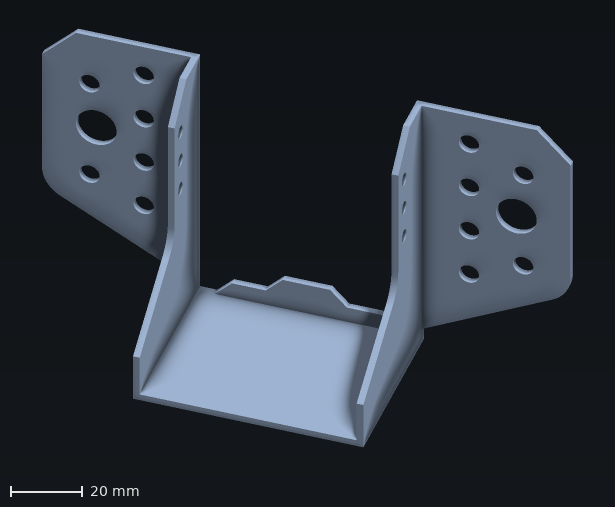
import cadquery as cq
import math

SHEET = 2.0
HEIGHT = 84.0
DEPTH = 52.0
OVERALL_WIDTH = 156.0
SADDLE_INNER_WIDTH = 64.0
CORNER_CHAMFER = 10.0
BEND_RADIUS = 10.0

HALF_WIDTH = OVERALL_WIDTH / 2
HALF_INNER = SADDLE_INNER_WIDTH / 2
HALF_OUTER = HALF_INNER + SHEET

WALL_UPPER_DEPTH = 22.0
WALL_FRONT_HEIGHT = 15.0
WALL_SLOPE_TOP = 34.5
WALL_HOLE_DIAMETER = 4.0
WALL_HOLE_DEPTH = 17.0
WALL_HOLE_TOP = 69.0
WALL_HOLE_PITCH = 10.0
WALL_HOLE_COUNT = 3

FLANGE_INNER_BOTTOM = 5.0
FLANGE_OUTER_BOTTOM = 28.0
NAIL_DIAMETER = 6.0
INNER_NAIL_X = 48.0
INNER_NAIL_TOP = 74.0
INNER_NAIL_BOTTOM = 28.0
INNER_NAIL_COUNT = 4
BOLT_DIAMETER = 12.0
BOLT_X = 62.0
BOLT_Z = 52.0
OUTER_NAIL_X = 64.0
OUTER_NAIL_MIDDLE_Z = 51.0
OUTER_NAIL_OFFSET = 16.0

TAB_STEP = 5.0
TAB_HALF_TOP = 7.0
TAB_HALF_NECK = TAB_HALF_TOP + TAB_STEP
TAB_HALF_SHOULDER = 22.0
TAB_HALF_BASE = TAB_HALF_SHOULDER + TAB_STEP
TAB_SHOULDER_Z = SHEET + TAB_STEP
TAB_TOP_Z = TAB_SHOULDER_Z + TAB_STEP


def rounded_corner(previous, corner, following, radius):
    """Start, middle and end of the arc that rounds a corner."""
    def unit_towards(point):
        dx = point[0] - corner[0]
        dy = point[1] - corner[1]
        length = math.hypot(dx, dy)
        return dx / length, dy / length

    back = unit_towards(previous)
    ahead = unit_towards(following)
    half_angle = math.acos(back[0] * ahead[0] + back[1] * ahead[1]) / 2
    tangent = radius / math.tan(half_angle)
    middle_distance = radius / math.sin(half_angle) - radius
    bisector = (back[0] + ahead[0], back[1] + ahead[1])
    bisector_length = math.hypot(*bisector)
    start = tuple(c + tangent * d for c, d in zip(corner, back))
    middle = tuple(c + middle_distance * d / bisector_length for c, d in zip(corner, bisector))
    end = tuple(c + tangent * d for c, d in zip(corner, ahead))
    return start, middle, end


def make_floor():
    floor = cq.Workplane("XY").box(2 * HALF_OUTER, DEPTH, SHEET, centered=(True, False, False))
    return floor.translate((0, -DEPTH, 0))


def make_right_wall():
    upright_top = (-WALL_UPPER_DEPTH, HEIGHT - CORNER_CHAMFER)
    slope_corner = (-WALL_UPPER_DEPTH, WALL_SLOPE_TOP)
    front_top = (-DEPTH, WALL_FRONT_HEIGHT)
    start, middle, end = rounded_corner(upright_top, slope_corner, front_top, BEND_RADIUS)
    wall = (
        cq.Workplane("YZ", origin=(HALF_INNER, 0, 0))
        .moveTo(0, 0)
        .lineTo(0, HEIGHT)
        .lineTo(CORNER_CHAMFER - WALL_UPPER_DEPTH, HEIGHT)
        .lineTo(*upright_top)
        .lineTo(*start)
        .threePointArc(middle, end)
        .lineTo(*front_top)
        .lineTo(-DEPTH, 0)
        .close()
        .extrude(SHEET)
    )
    hole_centres = [
        (-WALL_HOLE_DEPTH, WALL_HOLE_TOP - i * WALL_HOLE_PITCH) for i in range(WALL_HOLE_COUNT)
    ]
    holes = (
        cq.Workplane("YZ", origin=(HALF_INNER, 0, 0))
        .pushPoints(hole_centres)
        .circle(WALL_HOLE_DIAMETER / 2)
        .extrude(SHEET)
    )
    return wall.cut(holes)


def flange_holes(centres, diameter):
    return cq.Workplane("XZ").pushPoints(centres).circle(diameter / 2).extrude(SHEET)


def make_right_flange():
    side_top = (HALF_WIDTH, HEIGHT - CORNER_CHAMFER)
    lower_corner = (HALF_WIDTH, FLANGE_OUTER_BOTTOM)
    inner_bottom = (HALF_OUTER, FLANGE_INNER_BOTTOM)
    start, middle, end = rounded_corner(side_top, lower_corner, inner_bottom, BEND_RADIUS)
    flange = (
        cq.Workplane("XZ")
        .moveTo(HALF_OUTER, HEIGHT)
        .lineTo(HALF_WIDTH - CORNER_CHAMFER, HEIGHT)
        .lineTo(*side_top)
        .lineTo(*start)
        .threePointArc(middle, end)
        .lineTo(*inner_bottom)
        .close()
        .extrude(SHEET)
    )
    inner_pitch = (INNER_NAIL_TOP - INNER_NAIL_BOTTOM) / (INNER_NAIL_COUNT - 1)
    inner_nails = [(INNER_NAIL_X, INNER_NAIL_BOTTOM + i * inner_pitch) for i in range(INNER_NAIL_COUNT)]
    outer_nails = [(OUTER_NAIL_X, OUTER_NAIL_MIDDLE_Z + side * OUTER_NAIL_OFFSET) for side in (-1, 1)]
    flange = flange.cut(flange_holes(inner_nails + outer_nails, NAIL_DIAMETER))
    return flange.cut(flange_holes([(BOLT_X, BOLT_Z)], BOLT_DIAMETER))


def make_tab():
    right_side = [
        (TAB_HALF_BASE, SHEET),
        (TAB_HALF_SHOULDER, TAB_SHOULDER_Z),
        (TAB_HALF_NECK, TAB_SHOULDER_Z),
        (TAB_HALF_TOP, TAB_TOP_Z),
    ]
    left_side = [(-x, z) for x, z in reversed(right_side)]
    return cq.Workplane("XZ").polyline(right_side + left_side).close().extrude(SHEET)


right_half = make_right_wall().union(make_right_flange())
left_half = right_half.mirror("YZ")
result = make_floor().union(right_half).union(left_half).union(make_tab())